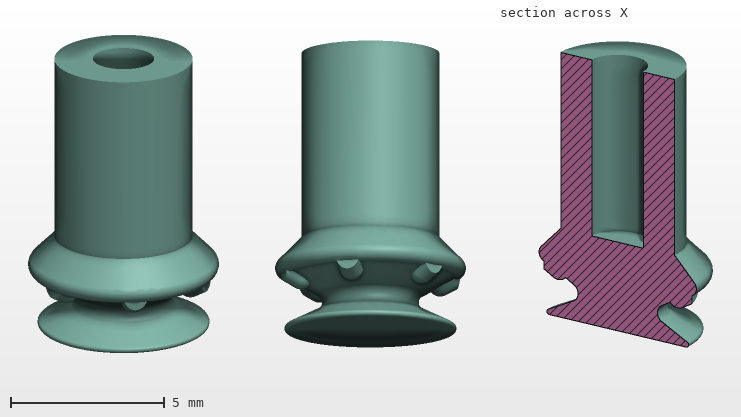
import cadquery as cq
import math

height = 9.2
barrel_radius = 4.5 / 2
bore_radius = 2.0 / 2

shoulder_z = 3.09
rim_radius = 6.2 / 2
rim_top_radius = 3.02
rim_top_z = 2.31
rim_middle_z = 2.07
rim_bottom_radius = 2.73
rim_bottom_z = 1.8

waist_radius = 1.57
waist_z = 0.96
waist_end_radius = 1.69
waist_top_z = 1.21
waist_bottom_z = 0.72

lip_radius = 2.8
lip_edge_radius = 0.1
lip_edge_angle = math.radians(62)
lip_bottom_radius = lip_radius - lip_edge_radius
lip_top_radius = lip_bottom_radius + lip_edge_radius * math.cos(lip_edge_angle)
lip_top_z = lip_edge_radius * (1 + math.sin(lip_edge_angle))

rib_count = 6
rib_radius = 0.39
rib_tip_distance = 2.35
rib_tip_z = 1.67
rib_slope_angle = 29.0
rib_face_distance = 2.92


def make_body():
    """Revolve the outer profile about Z."""
    profile = (
        cq.Workplane("XZ")
        .moveTo(0, 0)
        .lineTo(lip_bottom_radius, 0)
        .threePointArc((lip_radius, lip_edge_radius), (lip_top_radius, lip_top_z))
        .lineTo(waist_end_radius, waist_bottom_z)
        .threePointArc((waist_radius, waist_z), (waist_end_radius, waist_top_z))
        .lineTo(rim_bottom_radius, rim_bottom_z)
        .threePointArc((rim_radius, rim_middle_z), (rim_top_radius, rim_top_z))
        .lineTo(barrel_radius, shoulder_z)
        .lineTo(barrel_radius, height)
        .lineTo(0, height)
        .close()
    )
    return profile.revolve(360, (0, 0, 0), (0, 1, 0))


def make_rib():
    """Make a sloping, ball-ended rod toward -Y, cut off by flat faces."""
    angle = math.radians(rib_slope_angle)
    tip = cq.Vector(0, -rib_tip_distance, rib_tip_z)
    direction = cq.Vector(0, -math.cos(angle), math.sin(angle))
    rod_length = 2 * (rib_face_distance - rib_tip_distance) / math.cos(angle)
    rod = cq.Workplane(cq.Solid.makeCylinder(rib_radius, rod_length, tip, direction))
    ball = cq.Workplane("XY").sphere(rib_radius).translate(tip.toTuple())

    limits = cq.Workplane("XY").box(
        2 * rib_radius, rib_face_distance, rim_middle_z, centered=(True, False, False)
    )
    limits = limits.translate((0, -rib_face_distance, 0))
    return rod.union(ball).intersect(limits)


result = make_body()

rib = make_rib()
for index in range(rib_count):
    result = result.union(rib.rotate((0, 0, 0), (0, 0, 1), index * 360 / rib_count))

bore_depth = height - shoulder_z
result = result.cut(
    cq.Workplane("XY").workplane(offset=shoulder_z).circle(bore_radius).extrude(bore_depth)
)